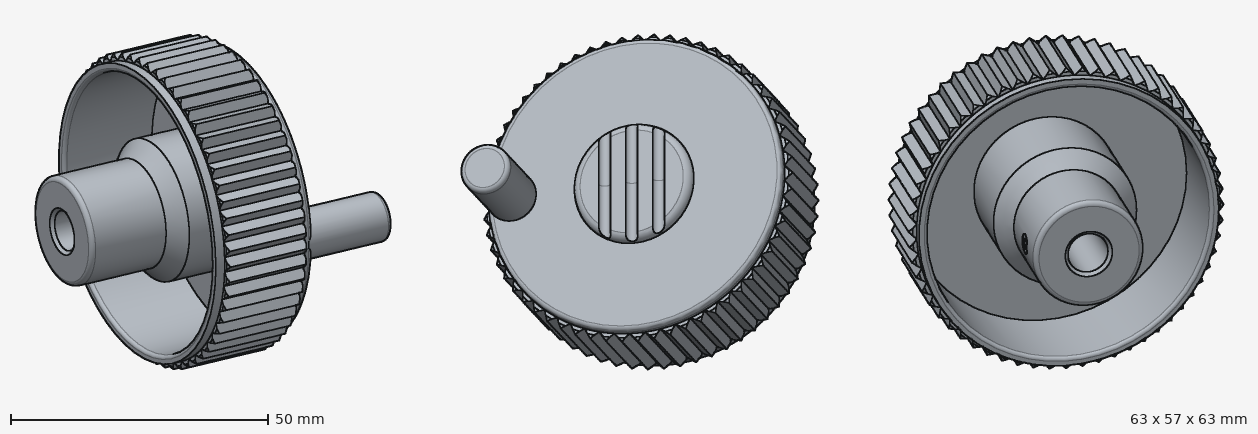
import cadquery as cq
import math


arc_middle = math.sqrt(0.5)

hub_overhang = 17.0
rim_width = 22.0
tooth_margin = 2.0
web_thickness = 2.0
cap_height = 2.0
handle_length = 17.98
rim_front = hub_overhang
rim_back = rim_front + rim_width
web_front = rim_back - web_thickness
cap_top = rim_back + cap_height

rim_radius = 59.92 / 2
rim_inner_radius = 56.4 / 2
rim_edge_fillet = 1.0
rim_mouth_fillet = 0.75
hub_radius = 22.0 / 2
boss_radius = 28.6 / 2
hub_end_fillet = 1.0
cone_length = boss_radius - hub_radius

bore_radius = 8.0 / 2
bore_chamfer = 0.7

tooth_count = 60
tooth_tip_radius = 63.0 / 2
tooth_end_drop = 0.75
tooth_end_length = 0.4

cap_radius = 24.2 / 2
cap_flat_radius = 10.5
groove_radius = 1.2
groove_pitch = 5.5
groove_offsets = (-groove_pitch, 0.0, groove_pitch)

handle_radius = 10.0 / 2
handle_offset = 25.0
handle_fillet = 1.0

screw_y = 8.0
screw_radius = 4.0 / 2
screw_face_x = -math.sqrt(hub_radius**2 - screw_radius**2)
socket_sides = 6
socket_flats = 2.0
socket_depth = 1.0
socket_corners = socket_flats / math.cos(math.pi / socket_sides)
socket_cone_depth = 0.7


def revolve_about_y(profile):
    return profile.close().revolve(360, (0, 0, 0), (0, 1, 0))


def polar_point(radius, angle):
    return (radius * math.cos(angle), radius * math.sin(angle))


def cylinder_along_y(radius, start, end, x):
    return cq.Workplane("XZ", origin=(x, start, 0)).circle(radius).extrude(start - end)


def make_wheel():
    """Hub, conical shoulder, boss, web and rim as one turned profile."""
    mouth_radius = rim_inner_radius + rim_mouth_fillet
    hub_arc_gap = hub_end_fillet * (1 - arc_middle)
    mouth_arc_gap = rim_mouth_fillet * (1 - arc_middle)
    edge_arc_gap = rim_edge_fillet * (1 - arc_middle)
    profile = (
        cq.Workplane("XY")
        .moveTo(0, 0)
        .lineTo(hub_radius - hub_end_fillet, 0)
        .threePointArc((hub_radius - hub_arc_gap, hub_arc_gap), (hub_radius, hub_end_fillet))
        .lineTo(hub_radius, rim_front)
        .lineTo(boss_radius, rim_front + cone_length)
        .lineTo(boss_radius, web_front)
        .lineTo(rim_inner_radius, web_front)
        .lineTo(rim_inner_radius, rim_front + rim_mouth_fillet)
        .threePointArc(
            (rim_inner_radius + mouth_arc_gap, rim_front + mouth_arc_gap),
            (mouth_radius, rim_front),
        )
        .lineTo(rim_radius, rim_front)
        .lineTo(rim_radius, rim_back - rim_edge_fillet)
        .threePointArc(
            (rim_radius - edge_arc_gap, rim_back - edge_arc_gap),
            (rim_radius - rim_edge_fillet, rim_back),
        )
        .lineTo(0, rim_back)
    )
    return revolve_about_y(profile)


def make_bore():
    profile = (
        cq.Workplane("XY")
        .moveTo(0, 0)
        .lineTo(bore_radius + bore_chamfer, 0)
        .lineTo(bore_radius, bore_chamfer)
        .lineTo(bore_radius, rim_back)
        .lineTo(0, rim_back)
    )
    return revolve_about_y(profile)


def make_tooth_ring():
    """Pointed teeth around the rim, with their tips bevelled at both ends."""
    start = rim_front + tooth_margin
    end = rim_back - tooth_margin
    half_pitch = math.pi / tooth_count
    outline = []
    for tooth in range(tooth_count):
        tip_angle = 2 * half_pitch * tooth
        root_angle = tip_angle + half_pitch
        outline.append(polar_point(tooth_tip_radius, tip_angle))
        outline.append(polar_point(rim_radius, root_angle))
    core_radius = (rim_inner_radius + rim_radius) / 2
    ring = (
        cq.Workplane("XZ", origin=(0, start, 0))
        .polyline(outline)
        .close()
        .circle(core_radius)
        .extrude(start - end)
    )
    bevelled_radius = tooth_tip_radius - tooth_end_drop
    envelope = (
        cq.Workplane("XY")
        .moveTo(0, start)
        .lineTo(bevelled_radius, start)
        .lineTo(tooth_tip_radius, start + tooth_end_length)
        .lineTo(tooth_tip_radius, end - tooth_end_length)
        .lineTo(bevelled_radius, end)
        .lineTo(0, end)
    )
    return ring.intersect(revolve_about_y(envelope))


def make_cap():
    """Round-edged cap with grooves running along Z across its top."""
    edge_run = cap_radius - cap_flat_radius
    profile = (
        cq.Workplane("XY")
        .moveTo(0, web_front)
        .lineTo(cap_radius, web_front)
        .lineTo(cap_radius, rim_back)
        .threePointArc(
            (cap_flat_radius + edge_run * arc_middle, rim_back + cap_height * arc_middle),
            (cap_flat_radius, cap_top),
        )
        .lineTo(0, cap_top)
    )
    cap = revolve_about_y(profile)
    for offset in groove_offsets:
        groove_end = cq.Workplane("XY").center(offset, cap_top).circle(groove_radius)
        groove = groove_end.extrude(cap_radius, both=True)
        cap = cap.cut(groove)
    return cap


def make_handle():
    handle = cylinder_along_y(handle_radius, rim_back, rim_back + handle_length, handle_offset)
    handle = handle.faces(">Y").edges().fillet(handle_fillet)
    foot = cylinder_along_y(handle_radius, rim_back - rim_edge_fillet, rim_back, handle_offset)
    return handle.union(foot)


def make_screw_cut():
    """Flat screw face with a hexagon socket ending in a drill cone."""
    half_side_angle = 180 / socket_sides
    face = cq.Workplane("YZ", origin=(screw_face_x, screw_y, 0))
    seat = face.circle(screw_radius).extrude(-hub_radius)
    turned_face = face.transformed(rotate=(0, 0, half_side_angle))
    socket = turned_face.polygon(socket_sides, socket_corners).extrude(socket_depth)
    tip = cq.Solid.makeCone(
        socket_flats / 2,
        0,
        socket_cone_depth,
        cq.Vector(screw_face_x + socket_depth, screw_y, 0),
        cq.Vector(1, 0, 0),
    )
    return seat.union(socket).union(cq.Workplane(tip))


wheel = make_wheel().union(make_tooth_ring()).union(make_cap()).union(make_handle())
result = wheel.cut(make_bore()).cut(make_screw_cut())